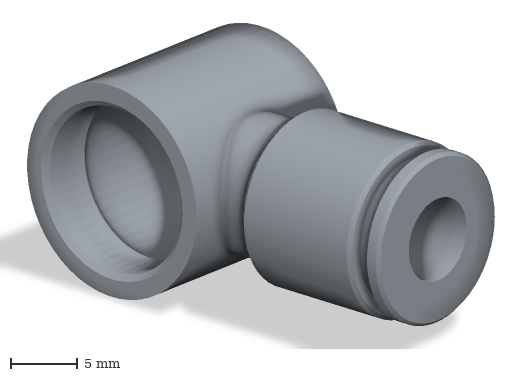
import cadquery as cq
import math

ring_radius = 8.5
ring_length = 17.0
bore_radius = 6.6
bore_chamfer = 0.47
channel_depth = 0.5
channel_taper = 0.68
lip_length = 4.4

branch_bore_radius = 3.3
neck_radius = 5.55
neck_blend = 0.45
ring_blend = 0.4
body_radius = 7.0
body_start = 11.95
body_end = 22.55
body_chamfer = 0.3
collar_radius = 5.87
collar_end = 23.7
groove_radius = 5.7
groove_x = 23.9
flange_radius = 6.8
flange_start = 24.1
flange_chamfer = 0.27
branch_end = 33.75 - ring_radius


def make_neck_and_body():
    """Revolve the neck, 45 degree shoulder, body, collar and flange about X."""
    shoulder_base = body_start - (body_radius - neck_radius)
    half_angle = math.pi / 8
    blend_start = shoulder_base - neck_blend * math.tan(half_angle)
    blend_middle = (
        blend_start + neck_blend * math.sin(half_angle),
        neck_radius + neck_blend * (1 - math.cos(half_angle)),
    )
    blend_end = (
        blend_start + neck_blend * math.sin(2 * half_angle),
        neck_radius + neck_blend * (1 - math.cos(2 * half_angle)),
    )
    return (
        cq.Workplane("XY")
        .moveTo(0, 0)
        .lineTo(0, neck_radius)
        .lineTo(blend_start, neck_radius)
        .threePointArc(blend_middle, blend_end)
        .lineTo(body_start, body_radius)
        .lineTo(body_end - body_chamfer, body_radius)
        .lineTo(body_end, body_radius - body_chamfer)
        .lineTo(body_end, collar_radius)
        .lineTo(collar_end, collar_radius)
        .lineTo(groove_x, groove_radius)
        .lineTo(flange_start, collar_radius)
        .lineTo(flange_start, flange_radius)
        .lineTo(branch_end - flange_chamfer, flange_radius)
        .lineTo(branch_end, flange_radius - flange_chamfer)
        .lineTo(branch_end, 0)
        .close()
        .revolve(360, (0, 0, 0), (1, 0, 0))
    )


def make_ring_bore():
    """Revolve the chamfered bore with its annular recess about Y."""
    face = ring_length / 2
    lip_edge = face - lip_length
    channel_edge = lip_edge - channel_taper
    channel_radius = bore_radius + channel_depth
    return (
        cq.Workplane("XY")
        .moveTo(0, -face)
        .lineTo(bore_radius + bore_chamfer, -face)
        .lineTo(bore_radius, -face + bore_chamfer)
        .lineTo(bore_radius, -lip_edge)
        .lineTo(channel_radius, -channel_edge)
        .lineTo(channel_radius, channel_edge)
        .lineTo(bore_radius, lip_edge)
        .lineTo(bore_radius, face - bore_chamfer)
        .lineTo(bore_radius + bore_chamfer, face)
        .lineTo(0, face)
        .close()
        .revolve(360, (0, 0, 0), (0, 1, 0))
    )


ring = cq.Workplane("XZ").circle(ring_radius).extrude(ring_length / 2, both=True)
solid_fitting = ring.union(make_neck_and_body())

seam_box = cq.selectors.BoxSelector(
    (ring_radius / 2, -body_radius, -body_radius),
    (ring_radius + ring_blend, body_radius, body_radius),
)
blended_fitting = solid_fitting.edges(seam_box).fillet(ring_blend)

branch_bore = cq.Workplane("YZ").circle(branch_bore_radius).extrude(branch_end)
result = blended_fitting.cut(make_ring_bore()).cut(branch_bore)